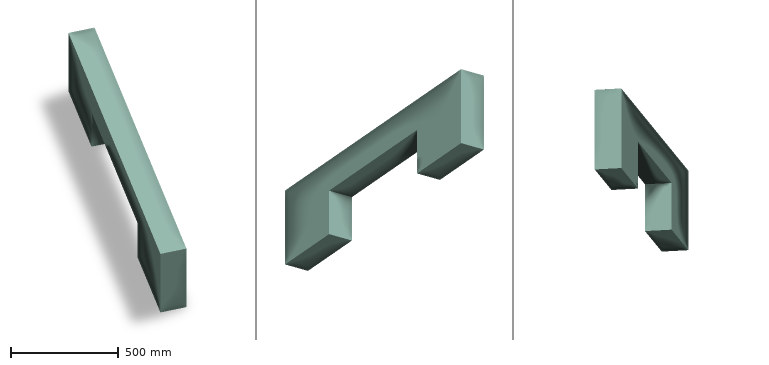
import cadquery as cq

length = 1524.0
depth = 126.0
height = 384.0

opening_width = length / 2
beam_height = 158.0
opening_height = height - beam_height

bar = cq.Workplane("XY").box(length, depth, height, centered=(True, True, False))

opening = cq.Workplane("XY").box(
    opening_width, depth, opening_height, centered=(True, True, False)
)

result = bar.cut(opening)